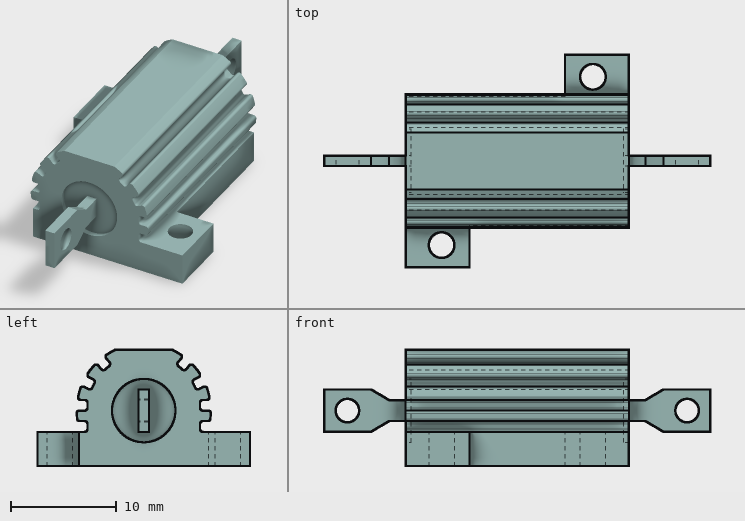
import cadquery as cq
import math

BODY_LENGTH = 21.1
BODY_HEIGHT = 11.0
FIN_RADIUS = 6.35
AXIS_HEIGHT = 5.25

BASE_HEIGHT = 3.25
BASE_WIDTH = 12.2
LUG_LENGTH = 6.05
LUG_SPAN = 20.1
LUG_HOLE_DIAMETER = 2.4
LUG_HOLE_SPACING_X = 14.3
LUG_HOLE_SPACING_Y = 15.9

GROOVE_WIDTH = 1.0
GROOVE_FLOOR_RADIUS = 5.33
GROOVE_OUTER_RADIUS = 7.5
GROOVE_FLOOR_FILLET = 0.25
FIN_TIP_FILLET = 0.25
RADIAL_GROOVE_ANGLES = (26.5, 49.5)
LEVEL_GROOVE_HEIGHTS = (BASE_HEIGHT + GROOVE_WIDTH / 2, AXIS_HEIGHT + GROOVE_WIDTH / 2)

RECESS_DIAMETER = 6.0
RECESS_DEPTH = 0.5

OVERALL_LENGTH = 36.5
TERMINAL_THICKNESS = 1.0
TERMINAL_HEIGHT = 4.0
NECK_HEIGHT = 2.0
EYE_LENGTH = 4.45
TAPER_LENGTH = 1.7
EYE_HOLE_DIAMETER = 2.2
EYE_HOLE_INSET = 2.2

SIDES = (-1, 1)


def groove(side, angle, height):
    """Groove cutter pointing outward at an angle, from an origin at the given height."""
    reach = GROOVE_OUTER_RADIUS - GROOVE_FLOOR_RADIUS
    cutter = (
        cq.Workplane("XY")
        .box(BODY_LENGTH, reach, GROOVE_WIDTH)
        .edges("|X and <Y")
        .fillet(GROOVE_FLOOR_FILLET)
        .translate((0, GROOVE_FLOOR_RADIUS + reach / 2, 0))
        .rotate((0, 0, 0), (1, 0, 0), angle)
    )
    if side < 0:
        cutter = cutter.mirror("XZ")
    return cutter.translate((0, 0, height))


class FinTipEdges(cq.Selector):
    """Long edges on the fin tip radius, except those of the flat top."""

    def filter(self, objects):
        tolerance = 0.01
        chosen = []
        for edge in objects:
            center = edge.Center()
            radius = math.hypot(center.y, center.z - AXIS_HEIGHT)
            runs_along_x = edge.geomType() == "LINE" and edge.Length() > BODY_LENGTH - tolerance
            below_top = center.z < BODY_HEIGHT - tolerance
            if runs_along_x and below_top and abs(radius - FIN_RADIUS) < tolerance:
                chosen.append(edge)
        return chosen


def finned_housing():
    """Round housing with a flat top, cut by the grooves, above a rectangular base."""
    barrel = (
        cq.Workplane("YZ")
        .center(0, AXIS_HEIGHT)
        .circle(FIN_RADIUS)
        .extrude(BODY_LENGTH / 2, both=True)
    )
    envelope_height = BODY_HEIGHT - BASE_HEIGHT
    envelope = cq.Workplane("XY").box(
        BODY_LENGTH, 2 * FIN_RADIUS, envelope_height, centered=(True, True, False)
    )
    housing = barrel.intersect(envelope.translate((0, 0, BASE_HEIGHT)))
    for side in SIDES:
        for height in LEVEL_GROOVE_HEIGHTS:
            housing = housing.cut(groove(side, 0, height))
        for angle in RADIAL_GROOVE_ANGLES:
            housing = housing.cut(groove(side, angle, AXIS_HEIGHT))
    housing = housing.edges(FinTipEdges()).fillet(FIN_TIP_FILLET)
    base = cq.Workplane("XY").box(
        BODY_LENGTH, BASE_WIDTH, BASE_HEIGHT, centered=(True, True, False)
    )
    return housing.union(base)


def mounting_lug(side):
    """Drilled lug at one corner: the -X end for the -Y side, the +X end for the +Y side."""
    lug = (
        cq.Workplane("XY")
        .box(LUG_LENGTH, LUG_SPAN / 2, BASE_HEIGHT, centered=(True, True, False))
        .translate((side * (BODY_LENGTH - LUG_LENGTH) / 2, side * LUG_SPAN / 4, 0))
    )
    hole = (
        cq.Workplane("XY")
        .center(side * LUG_HOLE_SPACING_X / 2, side * LUG_HOLE_SPACING_Y / 2)
        .circle(LUG_HOLE_DIAMETER / 2)
        .extrude(BASE_HEIGHT)
    )
    return lug.cut(hole)


def end_recess(side):
    """Shallow round pocket in one end face."""
    inner_x = BODY_LENGTH / 2 - RECESS_DEPTH
    return (
        cq.Workplane("YZ", origin=(side * inner_x, 0, AXIS_HEIGHT))
        .circle(RECESS_DIAMETER / 2)
        .extrude(side * RECESS_DEPTH)
    )


def terminal(side):
    """Flat terminal: a neck rooted in the recess floor, widening to a drilled eye."""
    tip_x = OVERALL_LENGTH / 2
    eye_x = tip_x - EYE_LENGTH
    neck_x = eye_x - TAPER_LENGTH
    root_x = BODY_LENGTH / 2 - RECESS_DEPTH
    half_eye = TERMINAL_HEIGHT / 2
    half_neck = NECK_HEIGHT / 2
    plane = cq.Workplane("XZ", origin=(0, 0, AXIS_HEIGHT))
    blade = (
        plane.moveTo(root_x, half_neck)
        .lineTo(neck_x, half_neck)
        .lineTo(eye_x, half_eye)
        .lineTo(tip_x, half_eye)
        .lineTo(tip_x, -half_eye)
        .lineTo(eye_x, -half_eye)
        .lineTo(neck_x, -half_neck)
        .lineTo(root_x, -half_neck)
        .close()
        .extrude(TERMINAL_THICKNESS / 2, both=True)
    )
    eye_hole = (
        plane.center(tip_x - EYE_HOLE_INSET, 0)
        .circle(EYE_HOLE_DIAMETER / 2)
        .extrude(TERMINAL_THICKNESS / 2, both=True)
    )
    blade = blade.cut(eye_hole)
    if side < 0:
        blade = blade.mirror("YZ")
    return blade


result = finned_housing()
for end in SIDES:
    result = result.union(mounting_lug(end))
for end in SIDES:
    result = result.cut(end_recess(end)).union(terminal(end))